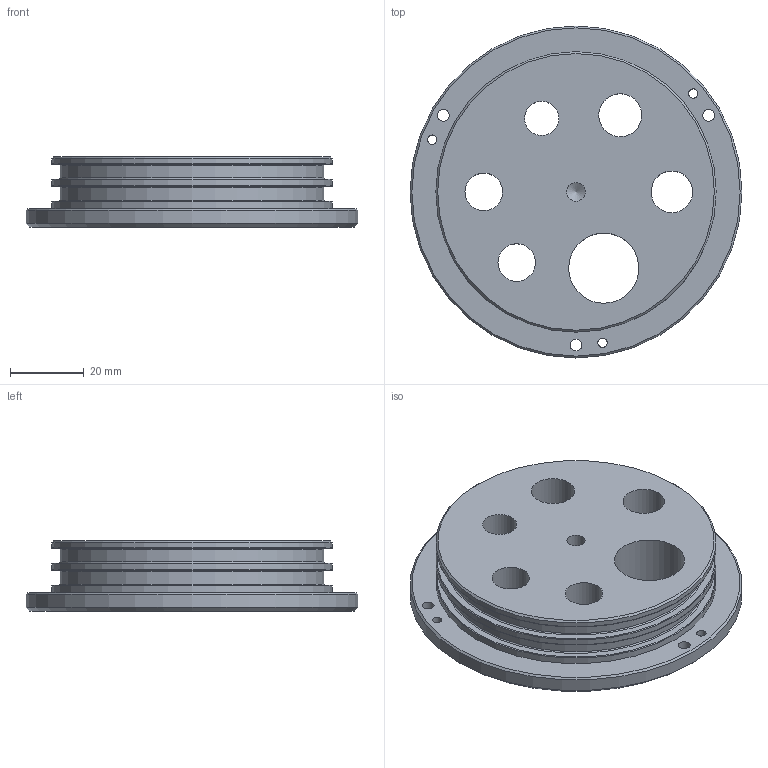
import cadquery as cq
import math

flange_diameter = 90.0
flange_height = 5.0
flange_bottom_chamfer = 1.0
flange_top_chamfer = 0.5

plug_diameter = 76.0
land_height = 2.0
groove_width = 4.0
groove_count = 2
groove_floor_diameter = 71.4
groove_floor_radius = 0.3
groove_mouth_radius = 0.2
plug_chamfer = 0.5
total_height = flange_height + land_height + groove_count * (groove_width + land_height)

ports = [
    (11.3, 26.0, 0.0),
    (11.67, 24.0, 60.0),
    (9.29, 22.0, 115.0),
    (10.2, 25.0, 180.0),
    (10.2, 25.0, 230.0),
    (19.0, 22.0, 290.0),
]

flange_hole_radius = 41.5
screw_hole_diameter = 3.2
pin_hole_diameter = 2.53
first_screw_angle = 30.0
pin_angle_offset = 10.0
pair_count = 3

blind_hole_diameter = 5.04
blind_hole_depth = 10.0
drill_tip_angle = 118.0


def make_flange():
    """Disc with both rims chamfered."""
    disc = cq.Workplane("XY").circle(flange_diameter / 2).extrude(flange_height)
    disc = disc.faces("<Z").edges().chamfer(flange_bottom_chamfer)
    return disc.faces(">Z").edges().chamfer(flange_top_chamfer)


def make_plug():
    """Grooved cylinder standing on the flange, chamfered at its top rim."""
    plug = cq.Workplane("XY").circle(plug_diameter / 2).extrude(total_height)
    plug = plug.faces(">Z").edges().chamfer(plug_chamfer)
    for index in range(groove_count):
        groove_bottom = flange_height + land_height + index * (groove_width + land_height)
        plug = plug.cut(make_groove(groove_bottom))
    return plug


def make_groove(bottom):
    """Ring that cuts one seal groove, with rounded floor corners and rounded mouth edges."""
    mouth = plug_diameter / 2
    floor = groove_floor_diameter / 2
    top = bottom + groove_width
    diagonal = 1 - math.sqrt(0.5)
    mouth_bulge = groove_mouth_radius * diagonal
    floor_bulge = groove_floor_radius * diagonal
    return (
        cq.Workplane("XZ")
        .moveTo(mouth, bottom - groove_mouth_radius)
        .threePointArc(
            (mouth - mouth_bulge, bottom - mouth_bulge),
            (mouth - groove_mouth_radius, bottom),
        )
        .lineTo(floor + groove_floor_radius, bottom)
        .threePointArc(
            (floor + floor_bulge, bottom + floor_bulge),
            (floor, bottom + groove_floor_radius),
        )
        .lineTo(floor, top - groove_floor_radius)
        .threePointArc(
            (floor + floor_bulge, top - floor_bulge),
            (floor + groove_floor_radius, top),
        )
        .lineTo(mouth - groove_mouth_radius, top)
        .threePointArc(
            (mouth - mouth_bulge, top + mouth_bulge),
            (mouth, top + groove_mouth_radius),
        )
        .close()
        .revolve(360, (0, 0, 0), (0, 1, 0))
    )


def make_hole(diameter, radius, angle):
    """Full-height cylinder at a polar position."""
    x = radius * math.cos(math.radians(angle))
    y = radius * math.sin(math.radians(angle))
    return cq.Workplane("XY").center(x, y).circle(diameter / 2).extrude(total_height)


def make_blind_hole():
    """Drilled hole with a conical tip, going down from the top face."""
    radius = blind_hole_diameter / 2
    floor = total_height - blind_hole_depth
    tip = floor - radius / math.tan(math.radians(drill_tip_angle / 2))
    return (
        cq.Workplane("XZ")
        .moveTo(0, tip)
        .lineTo(radius, floor)
        .lineTo(radius, total_height)
        .lineTo(0, total_height)
        .close()
        .revolve(360, (0, 0, 0), (0, 1, 0))
    )


result = make_flange().union(make_plug())

for diameter, radius, angle in ports:
    result = result.cut(make_hole(diameter, radius, angle))

for index in range(pair_count):
    screw_angle = first_screw_angle + index * 360.0 / pair_count
    result = result.cut(make_hole(screw_hole_diameter, flange_hole_radius, screw_angle))
    result = result.cut(make_hole(pin_hole_diameter, flange_hole_radius, screw_angle + pin_angle_offset))

result = result.cut(make_blind_hole())